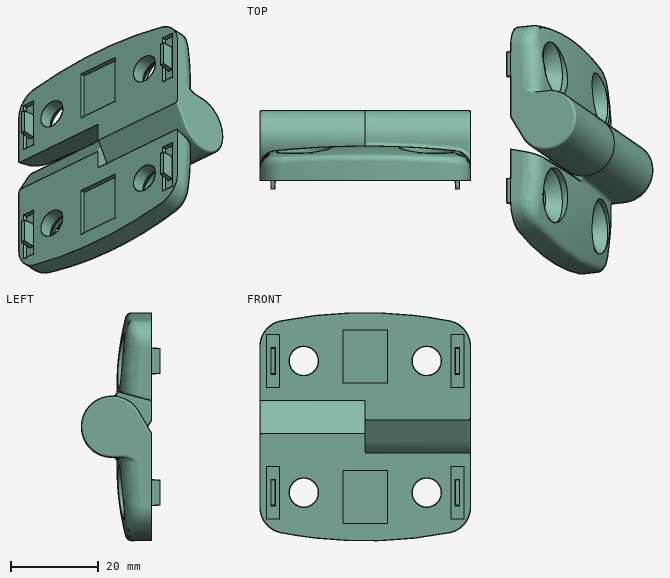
import cadquery as cq
import math


half_width = 24.0
leaf_height = 26.0
crown_radius = 100.0
corner_radius = 6.0

dome_height = 7.9
dome_apex_z = 9.5
dome_radius_z = 60.0
dome_radius_x = 200.0
side_fillet = 3.8
crown_fillet = 1.5

axis_y = 9.0
knuckle_radius = 7.0
web_foot_z = 1.5
knuckle_root_fillet = 0.9
knuckle_outer_fillet = 0.5
knuckle_inner_fillet = 0.25

clearance_foot_z = 5.95
clearance_slope = math.tan(math.radians(15.0))
clearance_corner_fillet = 0.3

hole_x = 14.0
hole_z = 15.0
hole_diameter = 6.6
countersink_diameter = 12.5
countersink_angle = 90.0
countersink_start_y = 3.3

recess_depth = 1.0
window_width = 10.2
window_height = 12.0
window_z = 16.0
slot_width = 3.0
slot_height = 12.0
slot_x = 21.0
slot_z = 15.0

tab_outer_x = 21.5
tab_thickness = 1.1
tab_height = 6.1
tab_projection = 1.95
tab_draft = 4.0

beyond = 100.0
tolerance = 0.01


def leaf_outline():
    """Leaf face with an arched top edge blended into both sides by corner arcs."""
    crown_center_z = leaf_height - crown_radius
    corner_x = half_width - corner_radius
    center_distance = crown_radius - corner_radius
    corner_z = crown_center_z + math.sqrt(center_distance**2 - corner_x**2)
    blend_x = crown_radius * corner_x / center_distance
    blend_z = crown_center_z + math.sqrt(crown_radius**2 - blend_x**2)
    corner_mid_angle = math.atan2(corner_z - crown_center_z, corner_x) / 2
    corner_mid_x = corner_x + corner_radius * math.cos(corner_mid_angle)
    corner_mid_z = corner_z + corner_radius * math.sin(corner_mid_angle)
    return (
        cq.Workplane("XZ")
        .moveTo(-half_width, 0)
        .lineTo(half_width, 0)
        .lineTo(half_width, corner_z)
        .threePointArc((corner_mid_x, corner_mid_z), (blend_x, blend_z))
        .threePointArc((0, leaf_height), (-blend_x, blend_z))
        .threePointArc((-corner_mid_x, corner_mid_z), (-half_width, corner_z))
        .close()
    )


def dome():
    """Block whose arched front profile in the YZ plane is swept round a large circle along X."""
    top_z = leaf_height + 2
    back_y = -1.0
    sweep_angle = 20.0
    sweep_center_y = dome_height - dome_radius_x

    def dome_y(z):
        return dome_height - dome_radius_z + math.sqrt(dome_radius_z**2 - (z - dome_apex_z) ** 2)

    return (
        cq.Workplane("YZ")
        .moveTo(back_y, 0)
        .lineTo(dome_y(0), 0)
        .threePointArc((dome_height, dome_apex_z), (dome_y(top_z), top_z))
        .lineTo(back_y, top_z)
        .close()
        .revolve(sweep_angle, (sweep_center_y, 0, 0), (sweep_center_y, 1, 0))
        .rotate((0, sweep_center_y, 0), (0, sweep_center_y, 1), -sweep_angle / 2)
    )


def domed_plate():
    """Plate whose front rim fillet narrows round the corners, from the sides to the crown."""
    plate = leaf_outline().extrude(-2 * dome_height).intersect(dome())
    crown_rim = plate.faces(">Z").edges(">Y").val()
    rim_fillet = cq.occ_impl.shapes.BRepFilletAPI_MakeFillet(plate.val().wrapped)
    rim_fillet.Add(crown_rim.wrapped)
    rim_contour = 1
    front = cq.selectors.BoxSelector((-beyond, tolerance, -tolerance), (beyond, beyond, beyond))
    for vertex in plate.vertices(front).vals():
        on_side = abs(vertex.X) > half_width - tolerance
        radius = side_fillet if on_side else crown_fillet
        rim_fillet.SetRadius(radius, rim_contour, vertex.wrapped)
    return cq.Workplane(cq.Shape.cast(rim_fillet.Shape()))


def clearance_cut():
    """Region under the slanted wall on the left half, open to the other leaf's knuckle."""
    reach_y = 2 * axis_y
    return (
        cq.Workplane("YZ")
        .moveTo(-1, -1)
        .lineTo(-1, clearance_foot_z - clearance_slope)
        .lineTo(reach_y, clearance_foot_z + reach_y * clearance_slope)
        .lineTo(reach_y, -1)
        .close()
        .extrude(-beyond)
    )


def knuckle(length):
    """Half of the hinge barrel with its web, whose underside is tangent to the barrel."""
    foot_distance = math.hypot(axis_y, web_foot_z)
    foot_direction = math.atan2(web_foot_z, -axis_y)
    tangent_direction = foot_direction + math.acos(knuckle_radius / foot_distance)
    tangent_y = axis_y + knuckle_radius * math.cos(tangent_direction)
    tangent_z = knuckle_radius * math.sin(tangent_direction)
    return (
        cq.Workplane("YZ")
        .moveTo(0, web_foot_z)
        .lineTo(tangent_y, tangent_z)
        .threePointArc((axis_y + knuckle_radius, 0), (axis_y, knuckle_radius))
        .lineTo(0, knuckle_radius)
        .close()
        .extrude(length)
    )


def edges_near_x(body, x):
    """Edges lying in the plane at x, over the height of the knuckle and its clearance wall."""
    low = (x - tolerance, tolerance, -knuckle_radius)
    high = (x + tolerance, beyond, knuckle_radius + dome_height * clearance_slope)
    return body.edges(cq.selectors.BoxSelector(low, high))


def leaf_body():
    """Plate and knuckle blended together; the over-long knuckle lets the blend run out at the side."""
    over_length = side_fillet
    web_side = cq.Workplane("XY", origin=(0, 0, knuckle_radius / 2)).rect(beyond, beyond).extrude(-beyond)
    end_trim = cq.Workplane("YZ", origin=(half_width, 0, 0)).rect(beyond, beyond).extrude(beyond)
    body = domed_plate().cut(clearance_cut()).cut(web_side).union(knuckle(half_width + over_length))
    root_low = (tolerance, -tolerance, knuckle_radius - tolerance)
    root_high = (half_width + tolerance, dome_height, knuckle_radius + tolerance)
    root = body.edges(cq.selectors.BoxSelector(root_low, root_high))
    return cq.Workplane(body.val().fillet(knuckle_root_fillet, root.vals())).cut(end_trim)


def fillet_edges(body, radius, edges):
    return cq.Workplane(body.val().Solids()[0].fillet(radius, edges.vals()))


def round_knuckle(body):
    """Fillets round both ends of the knuckle and in the corner of the clearance notch."""
    wall_middle = (0, dome_height / 2, clearance_foot_z + dome_height / 2 * clearance_slope)
    body = fillet_edges(body, knuckle_outer_fillet, edges_near_x(body, half_width).edges(">Y"))
    notch_corner = body.edges(cq.selectors.NearestToPointSelector(wall_middle))
    body = fillet_edges(body, clearance_corner_fillet, notch_corner)
    body = fillet_edges(body, knuckle_inner_fillet, edges_near_x(body, 0).edges(">Y"))
    return body


def screw_hole(x):
    """Through hole with a conical countersink that runs out straight through the domed front."""
    hole_radius = hole_diameter / 2
    rim_radius = countersink_diameter / 2
    cone_height = (rim_radius - hole_radius) / math.tan(math.radians(countersink_angle / 2))
    return (
        cq.Workplane("XY")
        .moveTo(0, -1)
        .lineTo(hole_radius, -1)
        .lineTo(hole_radius, countersink_start_y)
        .lineTo(rim_radius, countersink_start_y + cone_height)
        .lineTo(rim_radius, 2 * dome_height)
        .lineTo(0, 2 * dome_height)
        .close()
        .revolve(360, (0, 0, 0), (0, 1, 0))
        .translate((x, 0, hole_z))
    )


def recess(x, z, width, height):
    return cq.Workplane("XZ", origin=(x, recess_depth, z)).rect(width, height).extrude(beyond)


def tab(side):
    """Locating tab: the inner half of a tapered block of twice the thickness, so its outer face is upright."""
    full = (
        cq.Workplane("XZ", origin=(0, recess_depth, 0))
        .rect(2 * tab_thickness, tab_height)
        .extrude(recess_depth + tab_projection, taper=tab_draft)
    )
    inner_side = cq.Workplane("XY").box(beyond, beyond, beyond).translate((-side * beyond / 2, 0, 0))
    return full.intersect(inner_side).translate((side * tab_outer_x, 0, slot_z))


def leaf():
    body = round_knuckle(leaf_body())
    body = body.cut(recess(0, window_z, window_width, window_height))
    for side in (-1, 1):
        body = body.cut(screw_hole(side * hole_x))
        body = body.cut(recess(side * slot_x, slot_z, slot_width, slot_height))
        body = body.union(tab(side))
    return body


leaves = []
for turn in (0, 180):
    leaves.append(leaf().rotate((0, 0, 0), (0, 1, 0), turn).val())

result = cq.Compound.makeCompound(leaves)